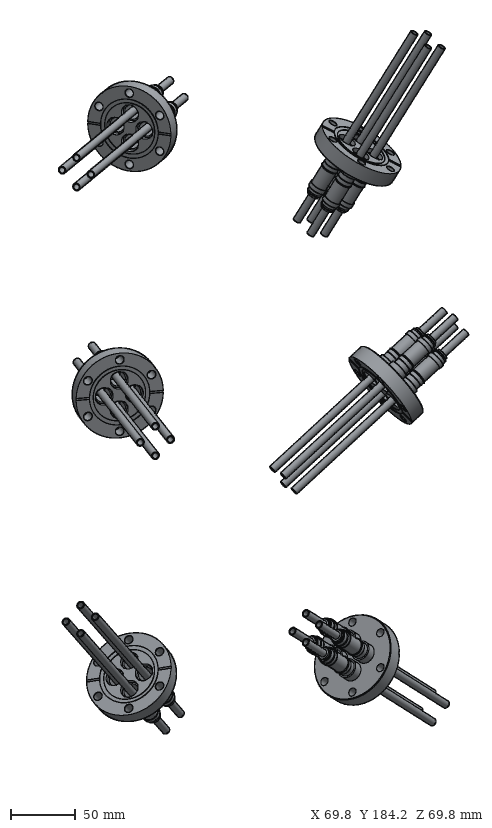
import cadquery as cq


FLANGE_DIA = 69.85
FLANGE_THICKNESS = 12.7
FLANGE_CHAMFER = 0.6
BOLT_COUNT = 6
BOLT_CIRCLE_DIA = 58.72
BOLT_HOLE_DIA = 6.6
BOLT_HOLE_CHAMFER = 0.25
GASKET_RECESS_DIA = 48.3
GASKET_RECESS_DEPTH = 0.6
INNER_RECESS_DIA = 41.9
INNER_RECESS_DEPTH = 1.2
LEAK_GROOVE_WIDTH = 1.6
LEAK_GROOVE_DEPTH = 0.55

TUBE_COUNT = 4
TUBE_PITCH_RADIUS = 12.07
TUBE_OUTER_DIA = 6.35
TUBE_INNER_DIA = 4.57
TUBE_LENGTH = 184.15
TUBE_FRONT_Y = -103.9
TUBE_BACK_Y = TUBE_FRONT_Y + TUBE_LENGTH

COLLAR_DIA = 15.6
SLEEVE_DIA = 13.0
SEAL_DIA = 13.4
RIM_DIA = 14.3
BODY_DIA = 13.0
BAND_DIA = 14.1
CAP_DIA = 12.1
NECK_DIA = 9.6

COLLAR_END_Y = 20.4
SLEEVE_END_Y = 24.8
SEAL_START_Y = 25.2
SEAL_END_Y = 28.3
RIM_PEAK_Y = 28.8
BODY_START_Y = 29.5
BODY_END_Y = 45.4
BAND_END_Y = 49.1
CAP_END_Y = 53.4
CAP_BEVEL_LENGTH = 0.6
CAP_BEVEL_DEPTH = 0.3
NECK_END_Y = 55.1

BORE_DIA = 14.2
BORE_END_Y = 5.0
COLLAR_BORE_DIA = 11.8
COLLAR_BORE_END_Y = 19.6
CAVITY_DIA = 10.8
CAVITY_END_Y = 52.0
TUBE_CLEARANCE_DIA = 7.0


def cylinder(diameter, start_y, end_y):
    """Solid cylinder on the Y axis."""
    profile = cq.Workplane("XZ", origin=(0, start_y, 0)).circle(diameter / 2)
    return profile.extrude(start_y - end_y)


def copies_around_y(shape, count):
    """The shape and its equally spaced copies about the Y axis, as one object."""
    copies = shape
    for index in range(1, count):
        copies = copies.union(shape.rotate((0, 0, 0), (0, 1, 0), index * 360 / count))
    return copies


def make_flange():
    flange = cylinder(FLANGE_DIA, 0, FLANGE_THICKNESS)
    flange = flange.faces(">Y").edges().chamfer(FLANGE_CHAMFER)
    leak_groove = cq.Workplane("XY").box(
        FLANGE_DIA, 2 * LEAK_GROOVE_DEPTH, LEAK_GROOVE_WIDTH
    )
    return flange.cut(make_bolt_holes()).cut(leak_groove).cut(make_gasket_recess())


def make_bolt_holes():
    """Ring of through holes, each chamfered at the bolting face."""
    radius = BOLT_HOLE_DIA / 2
    hole = (
        cq.Workplane("XY")
        .lineTo(radius + BOLT_HOLE_CHAMFER, 0)
        .lineTo(radius, BOLT_HOLE_CHAMFER)
        .lineTo(radius, FLANGE_THICKNESS)
        .lineTo(0, FLANGE_THICKNESS)
        .close()
        .revolve(360, (0, 0), (0, 1))
        .translate((0, 0, BOLT_CIRCLE_DIA / 2))
    )
    return copies_around_y(hole, BOLT_COUNT)


def make_gasket_recess():
    """Two shallow concentric steps, the inner one deeper."""
    gasket_seat = cylinder(GASKET_RECESS_DIA, 0, GASKET_RECESS_DEPTH)
    return gasket_seat.union(cylinder(INNER_RECESS_DIA, 0, INNER_RECESS_DEPTH))


def make_insulator():
    """Stepped outside of one insulator, from mid-flange to the neck that grips the tube."""
    return (
        cq.Workplane("XY")
        .moveTo(0, FLANGE_THICKNESS / 2)
        .lineTo(COLLAR_DIA / 2, FLANGE_THICKNESS / 2)
        .lineTo(COLLAR_DIA / 2, COLLAR_END_Y)
        .lineTo(SLEEVE_DIA / 2, COLLAR_END_Y)
        .lineTo(SLEEVE_DIA / 2, SLEEVE_END_Y)
        .lineTo(SEAL_DIA / 2, SEAL_START_Y)
        .lineTo(SEAL_DIA / 2, SEAL_END_Y)
        .lineTo(RIM_DIA / 2, RIM_PEAK_Y)
        .lineTo(BODY_DIA / 2, BODY_START_Y)
        .lineTo(BODY_DIA / 2, BODY_END_Y)
        .lineTo(BAND_DIA / 2, BODY_END_Y)
        .lineTo(BAND_DIA / 2, BAND_END_Y)
        .lineTo(CAP_DIA / 2, BAND_END_Y)
        .lineTo(CAP_DIA / 2, CAP_END_Y - CAP_BEVEL_LENGTH)
        .lineTo(CAP_DIA / 2 - CAP_BEVEL_DEPTH, CAP_END_Y)
        .lineTo(NECK_DIA / 2, CAP_END_Y)
        .lineTo(NECK_DIA / 2, NECK_END_Y)
        .lineTo(0, NECK_END_Y)
        .close()
        .revolve(360, (0, 0), (0, 1))
    )


def make_cavity():
    """Stepped void narrowing from the recessed flange face to the neck."""
    bore = cylinder(BORE_DIA, 0, BORE_END_Y)
    collar_bore = cylinder(COLLAR_BORE_DIA, 0, COLLAR_BORE_END_Y)
    main_cavity = cylinder(CAVITY_DIA, 0, CAVITY_END_Y)
    tube_clearance = cylinder(TUBE_CLEARANCE_DIA, 0, CAP_END_Y)
    return bore.union(collar_bore).union(main_cavity).union(tube_clearance)


def at_each_tube(shape):
    """Copies of a shape built on the Y axis, one on every tube axis."""
    return copies_around_y(shape.translate((TUBE_PITCH_RADIUS, 0, 0)), TUBE_COUNT)


result = make_flange().union(at_each_tube(make_insulator()))
result = result.cut(at_each_tube(make_cavity()))
result = result.union(at_each_tube(cylinder(TUBE_OUTER_DIA, TUBE_FRONT_Y, TUBE_BACK_Y)))
result = result.cut(at_each_tube(cylinder(TUBE_INNER_DIA, TUBE_FRONT_Y, TUBE_BACK_Y)))